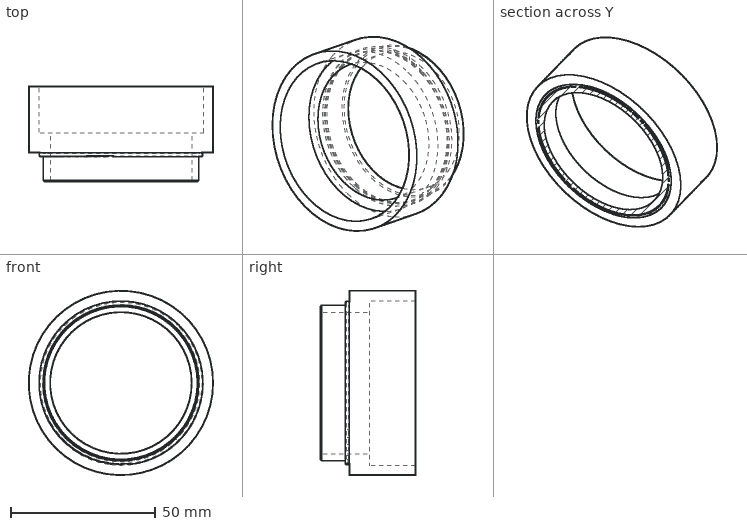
import cadquery as cq

total_length = 33.0
body_radius = 32.0
bore_radius = 24.5

spigot_length = 10.0
spigot_radius = 27.0
spigot_chamfer = 0.5

bead_diameter = 1.5
bead_overlap = 0.1
bead_offset = bead_diameter / 2 - bead_overlap
bead_center_radius = spigot_radius + bead_offset

socket_depth = 16.0
socket_radius = 28.5

front_y = -total_length / 2
back_y = total_length / 2
shoulder_y = front_y + spigot_length
bead_center_y = shoulder_y - bead_offset


def cylinder_along_y(radius, start_y, length):
    """Solid cylinder about the Y axis, running toward +Y from start_y."""
    plane = cq.Plane(origin=(0, start_y, 0), xDir=(1, 0, 0), normal=(0, 1, 0))
    return cq.Workplane(plane).circle(radius).extrude(length)


def make_body():
    return cylinder_along_y(body_radius, shoulder_y, total_length - spigot_length)


def make_spigot():
    spigot = cylinder_along_y(spigot_radius, front_y, spigot_length)
    return spigot.faces("<Y").chamfer(spigot_chamfer)


def make_bead():
    """Ring of circular section, sunk slightly into both faces of the corner."""
    section = cq.Workplane("XY").moveTo(-bead_center_radius, bead_center_y).circle(bead_diameter / 2)
    return section.revolve(360, (0, 0, 0), (0, 1, 0))


bore = cylinder_along_y(bore_radius, front_y, total_length)
socket = cylinder_along_y(socket_radius, back_y - socket_depth, socket_depth)

result = make_body().union(make_spigot()).union(make_bead()).cut(bore).cut(socket)